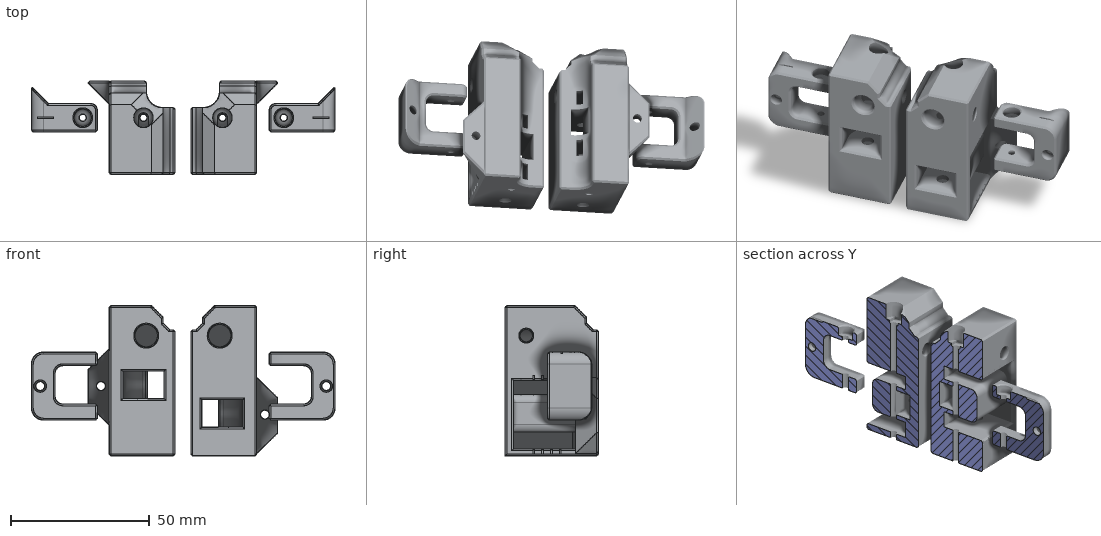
import cadquery as cq

outer_x = -26.6
inner_x = -2.8
depth = 33.8
height = 54.3
edge_chamfer = 0.7

cut_wall_x = -13.2
cut_wall_y = 24.2
cut_radius = 5.7

bevel_reach = 8.5
bevel_step = 4.3
step_height = 2.1
ledge_width = 1.9
facet_leg = 7.2

screw_x = -14.2
screw_y = 20.5
clip_center_z = 25.2
clip_depth = 10.3
clip_height = 24.5
clip_tip_x = -9.0
clip_web_x = -24.2
clip_outer_x = -32.8
clip_opening = 13.8
opening_rise = 0.4
clip_outer_radius = 4.4
clip_inner_radius = 2.8
clip_tip_radius = 2.4
clip_wedge_rise = 6.1
left_pull_out = 21.9
right_pull_out = 22.1

clearance = 0.1
right_pocket_drop = 10.3
pocket_front_y = 3.1
pocket_back_y = 25.5

tab_tip_x = -34.2
tab_drop = 0.3
tab_root_height = 27.5
tab_tip_height = 12.6
tab_tip_thickness = 0.8

window_width = 14.8
window_height = 9.9
exit_width = 5.9
tunnel_back_y = 15.3
tunnel_radius = 7.0

bore_x = -13.3
bore_z = 43.4
bore_diameter = 8.1
bore_depth = 13.2
cable_hole_diameter = 4.5
outer_hole_y = 7.7
inner_hole_y = 15.6
inner_hole_z = 38.4
inner_hole_depth = 5.5
upright_hole_y = 8.1
hole_chamfer = 0.4

screw_diameter = 2.5
head_diameter = 7.0
head_depth = 6.0
head_slot_width = 3.6
head_slot_depth = 1.1
clip_head_diameter = 6.2
clip_head_depth = 3.3
pin_x = -29.6
pin_diameter = 3.2
pin_head_diameter = 4.5
pin_head_depth = 3.3

mark_width = 0.7
housing_mark_depth = 0.3
housing_mark_length = 1.1
first_mark_y = 10.4
mark_pitch = 3.2
mark_count = 4
clip_mark_depth = 0.5
clip_mark_length = 5.7
clip_mark_inset = 2.2


def box(x_range, y_range, z_range):
    """Box between the given limits."""
    size = [limits[1] - limits[0] for limits in (x_range, y_range, z_range)]
    corner = (x_range[0], y_range[0], z_range[0])
    return cq.Workplane("XY").box(*size, centered=False).translate(corner)


def span(middle, length):
    """Lower and upper limit of a length about its middle."""
    return (middle - length / 2, middle + length / 2)


def rod(diameter, start, direction, length):
    """Round bar from a start point along a direction."""
    solid = cq.Solid.makeCylinder(diameter / 2, length, cq.Vector(*start), cq.Vector(*direction))
    return cq.Workplane(solid)


def countersink(diameter, start, direction):
    """Small cone that breaks the rim of a hole."""
    rim_radius = diameter / 2 + hole_chamfer
    solid = cq.Solid.makeCone(
        rim_radius, diameter / 2, hole_chamfer, cq.Vector(*start), cq.Vector(*direction)
    )
    return cq.Workplane(solid)


def flared_rim(plane, width, length):
    """Bevelled mouth of a rectangular opening, narrowing along the plane's normal."""
    return (
        cq.Workplane(plane)
        .rect(width + 2 * edge_chamfer, length + 2 * edge_chamfer)
        .workplane(offset=edge_chamfer)
        .rect(width, length)
        .loft(ruled=True)
    )


def cut_all(body, cutters):
    """Body with every cutter removed."""
    for cutter in cutters:
        body = body.cut(cutter)
    return body



def bevel_profile(plane, wall):
    """Outline of the stepped bevel removed along the top of a wall that faces the positive direction."""
    slope_run = bevel_step - ledge_width
    ledge_z = height - bevel_step - step_height - slope_run
    beyond = wall + ledge_width
    return (
        cq.Workplane(plane)
        .moveTo(wall - bevel_reach, height)
        .lineTo(wall - bevel_step, height - bevel_reach + bevel_step)
        .line(0, -step_height)
        .line(slope_run, -slope_run)
        .lineTo(beyond, ledge_z)
        .lineTo(beyond, height)
        .close()
    )


def corner_facet():
    """Sloping cut across the top of the inner back corner, joining the two bevels."""
    corner_x = inner_x - bevel_reach - facet_leg
    corner_y = depth - bevel_reach
    run = 2 * depth
    plane = cq.Plane((corner_x, corner_y, height), (1, 1, 0), (1, -1, 0))
    outline = [(0, 0), (run, 0), (run, -run / 2 ** 0.5)]
    return cq.Workplane(plane).polyline(outline).close().extrude(run, both=True)


def housing_block(chamfered_edges):
    """Block with the corner cut, the stepped bevels and the chosen outer edges broken."""
    block = (
        cq.Workplane("XY")
        .moveTo(outer_x, 0)
        .lineTo(inner_x, 0)
        .lineTo(inner_x, cut_wall_y)
        .lineTo(cut_wall_x + cut_radius, cut_wall_y)
        .radiusArc((cut_wall_x, cut_wall_y + cut_radius), cut_radius)
        .lineTo(cut_wall_x, depth)
        .lineTo(outer_x, depth)
        .close()
        .extrude(height)
    )
    inner_bevel = bevel_profile("XZ", inner_x).extrude(-depth)
    back_bevel = bevel_profile("YZ", depth).extrude(outer_x)
    block = cut_all(block, [inner_bevel, back_bevel, corner_facet()])
    return block.faces("<X or >X or <Y or >Y or <Z").edges(chamfered_edges).chamfer(edge_chamfer)


def boss(center_z, y_range, face_x, boss_height):
    """Bar along Y whose two outer edges are rounded."""
    bar = box((face_x, inner_x), y_range, span(center_z, boss_height))
    return bar.edges("|Y and <X").fillet(clip_inner_radius)


def housing_boss(center_z, y_range):
    """Boss that fills the clip's opening."""
    return boss(
        center_z + opening_rise, y_range, clip_web_x + clearance, clip_opening - 2 * clearance
    )


def clip_pocket(center_z):
    """Pocket for the clip around the boss, with a bevelled mouth in front, above and below."""
    pocket_height = clip_height + 2 * clearance
    y_range = (pocket_front_y, pocket_back_y)
    pocket = box((outer_x, clip_tip_x + clearance), y_range, span(center_z, pocket_height))
    mouth_center = (outer_x, (pocket_front_y + pocket_back_y) / 2, center_z)
    mouth_plane = cq.Plane(mouth_center, (0, 1, 0), (1, 0, 0))
    mouth = flared_rim(mouth_plane, pocket_back_y - pocket_front_y, pocket_height)
    mouth = mouth.intersect(box((outer_x, inner_x), (0, pocket_back_y), (0, height)))
    return pocket.cut(housing_boss(center_z, y_range)).union(mouth)


def tunnel(center_z):
    """Passage from a window in the front face, past a rounded inner corner, to a narrower exit at the back."""
    left, right = span(screw_x, window_width)
    exit_left = right - exit_width
    passage = (
        cq.Workplane("XY")
        .moveTo(left, 0)
        .lineTo(right, 0)
        .lineTo(right, depth)
        .lineTo(exit_left, depth)
        .lineTo(exit_left, tunnel_back_y + edge_chamfer)
        .line(-edge_chamfer, -edge_chamfer)
        .lineTo(left + tunnel_radius, tunnel_back_y)
        .radiusArc((left, tunnel_back_y - tunnel_radius), -tunnel_radius)
        .close()
        .extrude(window_height)
        .translate((0, 0, center_z - window_height / 2))
    )
    window_plane = cq.Plane((screw_x, 0, center_z), (1, 0, 0), (0, 1, 0))
    return passage.union(flared_rim(window_plane, window_width, window_height))


def bore_and_cable_holes():
    """Blind front bore, the holes in the two sides, and the upright hole from below."""
    bore_start = (bore_x, 0, bore_z)
    outer_start = (outer_x, outer_hole_y, bore_z)
    inner_start = (inner_x, inner_hole_y, inner_hole_z)
    return [
        rod(bore_diameter, bore_start, (0, 1, 0), bore_depth),
        countersink(bore_diameter, bore_start, (0, 1, 0)),
        rod(cable_hole_diameter, outer_start, (1, 0, 0), bore_x - outer_x),
        countersink(cable_hole_diameter, outer_start, (1, 0, 0)),
        rod(cable_hole_diameter, inner_start, (-1, 0, 0), inner_hole_depth),
        countersink(cable_hole_diameter, inner_start, (-1, 0, 0)),
        rod(cable_hole_diameter, (screw_x, upright_hole_y, 0), (0, 0, 1), bore_z),
    ]


def housing_screw_hole():
    """Screw hole with a head recess and a short slot in the floor of the recess."""
    floor_z = height - head_depth
    slot_z = floor_z - head_slot_depth
    slot = box(span(screw_x, head_slot_width), (screw_y - head_diameter / 2, screw_y), (slot_z, floor_z))
    return [
        rod(screw_diameter, (screw_x, screw_y, 0), (0, 0, 1), height),
        rod(head_diameter, (screw_x, screw_y, floor_z), (0, 0, 1), head_depth),
        rod(head_slot_width, (screw_x, screw_y, slot_z), (0, 0, 1), head_slot_depth),
        slot,
    ]


def housing_marks(center_z):
    """Short grooves on the outer face, above and below the pocket."""
    pocket_half = clip_height / 2 + clearance
    mark_height = edge_chamfer + housing_mark_length
    marks = []
    for index in range(mark_count):
        y_range = span(first_mark_y + index * mark_pitch, mark_width)
        for side in (-1, 1):
            middle_z = center_z + side * (pocket_half + mark_height / 2)
            marks.append(box((outer_x, outer_x + housing_mark_depth), y_range, span(middle_z, mark_height)))
    return marks


def tab(clip_z):
    """Wedge on the back outer edge, bevelled above, below and in front, with a pin hole."""
    center_z = clip_z - tab_drop
    reach = outer_x - tab_tip_x
    side_outline = (
        cq.Workplane("XZ")
        .moveTo(outer_x, center_z - tab_root_height / 2)
        .lineTo(outer_x, center_z + tab_root_height / 2)
        .lineTo(tab_tip_x, center_z + tab_tip_height / 2)
        .lineTo(tab_tip_x, center_z - tab_tip_height / 2)
        .close()
        .extrude(-depth)
    )
    plan_outline = (
        cq.Workplane("XY")
        .moveTo(outer_x, depth)
        .lineTo(tab_tip_x, depth)
        .line(0, -tab_tip_thickness)
        .line(reach, -reach)
        .close()
        .extrude(height)
    )
    wedge = side_outline.intersect(plan_outline)
    wedge = wedge.faces(">Y").edges("not >X").chamfer(edge_chamfer)
    return wedge.cut(rod(pin_diameter, (pin_x, 0, clip_z), (0, 1, 0), depth))


def make_housing(clip_z, chamfered_edges):
    """One housing whose clip pocket is centred at the given height."""
    body = housing_block(chamfered_edges)
    cutters = [clip_pocket(clip_z), tunnel(clip_z + opening_rise)]
    cutters += bore_and_cable_holes()
    cutters += housing_screw_hole()
    cutters += housing_marks(clip_z)
    return cut_all(body, cutters).union(tab(clip_z))



def clip_blank():
    """U-shaped clip with a wedge behind its web and broken front and back edges."""
    front, back = span(screw_y, clip_depth)
    wedge_y = back + clip_wedge_rise
    blank = box((clip_outer_x, clip_tip_x), (front, wedge_y), span(clip_center_z, clip_height))
    blank = blank.edges("|Y and <X").fillet(clip_outer_radius)
    opening = boss(clip_center_z + opening_rise, (front, wedge_y), clip_web_x, clip_opening)
    behind = (
        cq.Workplane("XY")
        .moveTo(clip_outer_x, wedge_y)
        .lineTo(clip_outer_x + clip_wedge_rise, back)
        .lineTo(clip_tip_x, back)
        .lineTo(clip_tip_x, wedge_y)
        .close()
        .extrude(height)
    )
    blank = blank.cut(opening).cut(behind)
    blank = blank.edges("|Z").edges(">X").edges(">Y").fillet(clip_tip_radius)
    blank = blank.faces("<Y").edges().chamfer(edge_chamfer)
    return blank.faces("+Y or >Y").edges("(not |Z) or <X").chamfer(edge_chamfer)


def clip_cutters():
    """Screw hole through the arms, pin hole through the web and the mark on top."""
    front = screw_y - clip_depth / 2
    top = clip_center_z + clip_height / 2
    head_start = (screw_x, screw_y, top)
    pin_start = (pin_x, front, clip_center_z)
    mark_start = clip_outer_x + clip_mark_inset
    mark_x = (mark_start, mark_start + clip_mark_length)
    return [
        rod(screw_diameter, head_start, (0, 0, -1), clip_height),
        rod(clip_head_diameter, head_start, (0, 0, -1), clip_head_depth),
        countersink(clip_head_diameter, head_start, (0, 0, -1)),
        rod(pin_diameter, pin_start, (0, 1, 0), depth),
        rod(pin_head_diameter, pin_start, (0, 1, 0), pin_head_depth),
        box(mark_x, span(screw_y, mark_width), (top - clip_mark_depth, top)),
    ]


def make_clip(pull_out):
    """One clip, pulled straight out of its pocket."""
    return cut_all(clip_blank(), clip_cutters()).translate((-pull_out, 0, 0))



left_housing = make_housing(clip_center_z, None)
right_housing = make_housing(clip_center_z - right_pocket_drop, "not (<Z and <Y)").mirror("YZ")
left_clip = make_clip(left_pull_out)
right_clip = make_clip(right_pull_out).mirror("YZ")

result = cq.Compound.makeCompound(
    [left_housing.val(), right_housing.val(), left_clip.val(), right_clip.val()]
)